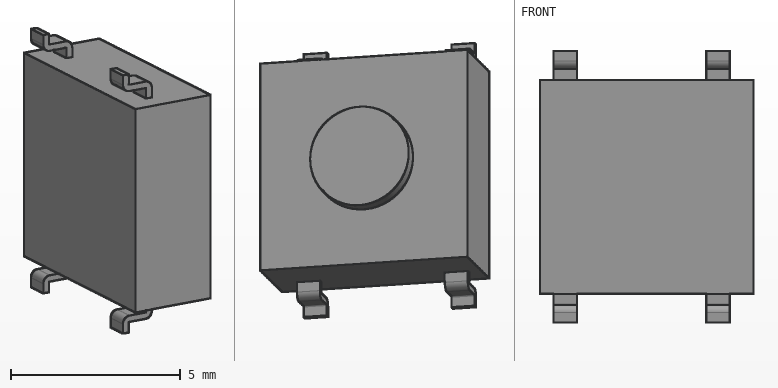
import cadquery as cq

BODY_SIDE = 6.3
BODY_DEPTH = 2.6

BUTTON_DIAMETER = 3.0
BUTTON_HEIGHT = 0.5

OVERALL_HEIGHT = 8.0
LEAD_WIDTH = 0.7
LEAD_PITCH = 4.5
LEAD_EDGE_GAP = 0.4
LEAD_REACH = 1.0
LEAD_THICKNESS = 0.2
BEND_INNER_RADIUS = 0.025
BEND_OUTER_RADIUS = BEND_INNER_RADIUS + LEAD_THICKNESS

BODY_TOP = BODY_SIDE / 2
LEAD_TIP = OVERALL_HEIGHT / 2
CROSSBAR_MIDDLE = (BODY_TOP + LEAD_TIP) / 2
CROSSBAR_OUTER = CROSSBAR_MIDDLE + LEAD_THICKNESS / 2
CROSSBAR_INNER = CROSSBAR_MIDDLE - LEAD_THICKNESS / 2
ROOT_INNER_Y = LEAD_REACH - LEAD_THICKNESS
ROOT_BEND_Y = ROOT_INNER_Y - BEND_INNER_RADIUS
ROOT_BEND_Z = CROSSBAR_INNER - BEND_INNER_RADIUS
FOOT_BEND_Y = LEAD_THICKNESS + BEND_INNER_RADIUS
FOOT_BEND_Z = CROSSBAR_OUTER + BEND_INNER_RADIUS


def make_body():
    return cq.Workplane("XY").box(BODY_SIDE, BODY_DEPTH, BODY_SIDE, centered=(True, False, True))


def make_button():
    return (
        cq.Workplane("XZ", origin=(0, BODY_DEPTH, 0))
        .circle(BUTTON_DIAMETER / 2)
        .extrude(-BUTTON_HEIGHT)
    )


def make_upper_lead(x_start):
    """Z-shaped lead: root on the housing, crossbar towards y = 0, then a foot."""
    return (
        cq.Workplane("YZ", origin=(x_start, 0, 0))
        .moveTo(ROOT_INNER_Y, BODY_TOP)
        .lineTo(LEAD_REACH, BODY_TOP)
        .lineTo(LEAD_REACH, ROOT_BEND_Z)
        .radiusArc((ROOT_BEND_Y, CROSSBAR_OUTER), -BEND_OUTER_RADIUS)
        .lineTo(FOOT_BEND_Y, CROSSBAR_OUTER)
        .radiusArc((LEAD_THICKNESS, FOOT_BEND_Z), BEND_INNER_RADIUS)
        .lineTo(LEAD_THICKNESS, LEAD_TIP)
        .lineTo(0, LEAD_TIP)
        .lineTo(0, FOOT_BEND_Z)
        .radiusArc((FOOT_BEND_Y, CROSSBAR_INNER), -BEND_OUTER_RADIUS)
        .lineTo(ROOT_BEND_Y, CROSSBAR_INNER)
        .radiusArc((ROOT_INNER_Y, ROOT_BEND_Z), BEND_INNER_RADIUS)
        .close()
        .extrude(LEAD_WIDTH)
    )


result = make_body().union(make_button())
first_lead_x = -BODY_SIDE / 2 + LEAD_EDGE_GAP
for lead_x in (first_lead_x, first_lead_x + LEAD_PITCH):
    upper_lead = make_upper_lead(lead_x)
    result = result.union(upper_lead).union(upper_lead.mirror("XY"))